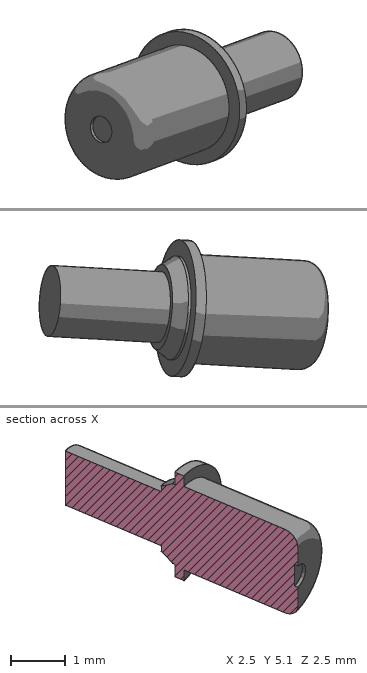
import cadquery as cq

total_length = 5.1

head_diameter = 2.0
head_length = 2.5
head_fillet = 0.3
flange_diameter = 2.5
flange_thickness = 0.2
collar_diameter = 1.9
collar_length = 0.05
cone_length = 0.25
cone_end_diameter = 1.56
stem_diameter = 1.3

recess_diameter = 0.5
recess_depth = 0.07

head_face = -total_length / 2
flange_start = head_face + head_length
collar_start = flange_start + flange_thickness
cone_start = collar_start + collar_length
stem_start = cone_start + cone_length
stem_end = total_length / 2


def cylinder(diameter, start, end):
    """Solid cylinder along +Y between two axial stations."""
    plane = cq.Plane(origin=(0, start, 0), xDir=(1, 0, 0), normal=(0, 1, 0))
    return cq.Workplane(plane).circle(diameter / 2).extrude(end - start)


def cone():
    """Taper from the collar down to the shoulder around the stem."""
    return (
        cq.Workplane("XY")
        .moveTo(0, cone_start)
        .lineTo(collar_diameter / 2, cone_start)
        .lineTo(cone_end_diameter / 2, stem_start)
        .lineTo(0, stem_start)
        .close()
        .revolve(360, (0, 0), (0, 1))
    )


head = cylinder(head_diameter, head_face, flange_start).faces("<Y").edges().fillet(head_fillet)
flange = cylinder(flange_diameter, flange_start, collar_start)
collar = cylinder(collar_diameter, collar_start, cone_start)
stem = cylinder(stem_diameter, stem_start, stem_end)
recess = cylinder(recess_diameter, head_face, head_face + recess_depth)

result = head.union(flange).union(collar).union(cone()).union(stem).cut(recess)